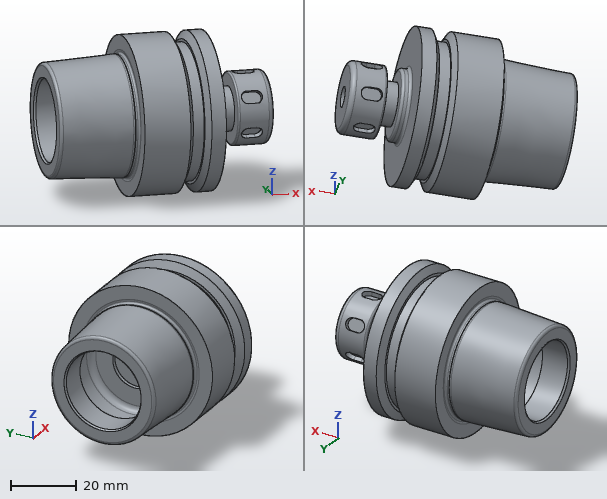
import cadquery as cq
import math

length = 70.0

shank_length = 25.0
taper_ratio = 0.1
ridge_dia = 38.3
ridge_start = 23.0
ridge_end = 23.6
mouth_dia = ridge_dia - ridge_start * taper_ratio
mouth_round = 1.0

neck_dia = 37.9
relief_radius = 0.7
relief_depth = 0.15
relief_rim_dia = 40.75

flange_dia = 50.0
flange_end = 50.95
groove_center = 43.0
groove_floor_dia = 43.0
groove_floor_width = 3.7
groove_wall_dia = 44.8
groove_side_angle = 60.0

collar_dia = 23.0
collar_end = 54.05
collar_round = 1.0
stem_dia = 14.0
nut_dia = collar_dia
nut_start = 58.5
nut_back_round = 0.55
nut_front_round = 1.7

slot_count = 6
slot_center = 63.2
slot_length = 6.65
slot_width = 4.05
slot_floor_radius = 9.8

bore_mouth_dia = 26.8
bore_dia = 26.0
bore_chamfer_length = 0.7
bore_end = 9.7
chamber_dia = 32.0
chamber_end = 21.9
chamber_corner = 2.1
pilot_dia = 16.0
pilot_depth = 1.4
through_dia = 6.5


def make_body():
    """Revolve the outer outline, drawn as (x, radius), around the X axis."""
    ridge_r = ridge_dia / 2
    neck_r = neck_dia / 2
    flange_r = flange_dia / 2
    collar_r = collar_dia / 2
    mouth_r = mouth_dia / 2

    relief_bottom = shank_length + relief_depth
    half_floor = groove_floor_width / 2
    side_run = (flange_r - groove_wall_dia / 2) / math.tan(math.radians(groove_side_angle))
    groove_left = groove_center - half_floor
    groove_right = groove_center + half_floor

    outline = (
        cq.Workplane("XY")
        .lineTo(0, mouth_r)
        .lineTo(ridge_start, ridge_r)
        .lineTo(ridge_end, ridge_r)
        .lineTo(ridge_end + ridge_r - neck_r, neck_r)
        .lineTo(relief_bottom - relief_radius, neck_r)
        .tangentArcPoint((relief_bottom, neck_r + relief_radius), relative=False)
        .lineTo(shank_length, relief_rim_dia / 2)
        .lineTo(shank_length, flange_r)
        .lineTo(groove_left - side_run, flange_r)
        .lineTo(groove_left, groove_wall_dia / 2)
        .lineTo(groove_left, groove_floor_dia / 2)
        .lineTo(groove_right, groove_floor_dia / 2)
        .lineTo(groove_right, groove_wall_dia / 2)
        .lineTo(groove_right + side_run, flange_r)
        .lineTo(flange_end, flange_r)
        .lineTo(flange_end, collar_r + collar_round)
        .tangentArcPoint((flange_end + collar_round, collar_r), relative=False)
        .lineTo(collar_end, collar_r)
        .lineTo(collar_end, stem_dia / 2)
        .lineTo(nut_start, stem_dia / 2)
        .lineTo(nut_start, nut_dia / 2)
        .lineTo(length, nut_dia / 2)
        .lineTo(length, 0)
        .close()
    )
    return outline.revolve(360, (0, 0, 0), (1, 0, 0))


def round_rim(body, x, diameter, radius):
    """Round the circular outer edge of the given diameter at position x."""
    margin = 0.1
    reach = diameter / 2 + margin
    rim = cq.selectors.BoxSelector(
        (x - margin, -reach, -reach), (x + margin, reach, reach), boundingbox=True
    )
    rim_edges = [
        edge for edge in body.edges(rim).vals() if abs(edge.radius() - diameter / 2) < margin
    ]
    return body.newObject(rim_edges).fillet(radius)


def make_bore():
    """Chamfered bore, round-cornered chamber, pilot recess and through hole in one revolve."""
    outline = (
        cq.Workplane("XY")
        .lineTo(0, bore_mouth_dia / 2)
        .lineTo(bore_chamfer_length, bore_dia / 2)
        .lineTo(bore_end, bore_dia / 2)
        .lineTo(bore_end, chamber_dia / 2)
        .lineTo(chamber_end - chamber_corner, chamber_dia / 2)
        .tangentArcPoint((chamber_end, chamber_dia / 2 - chamber_corner), relative=False)
        .lineTo(chamber_end, pilot_dia / 2)
        .lineTo(chamber_end + pilot_depth, pilot_dia / 2)
        .lineTo(chamber_end + pilot_depth, through_dia / 2)
        .lineTo(length, through_dia / 2)
        .lineTo(length, 0)
        .close()
    )
    return outline.revolve(360, (0, 0, 0), (1, 0, 0))


def make_wrench_slots():
    """Flat-bottomed slots evenly spaced around the nut, the first one facing +Z."""
    slot = (
        cq.Workplane("XY", origin=(slot_center, 0, slot_floor_radius))
        .slot2D(slot_length, slot_width)
        .extrude(nut_dia / 2)
    )
    slots = cq.Workplane("XY")
    for index in range(slot_count):
        angle = index * 360 / slot_count
        slots = slots.add(slot.rotate((0, 0, 0), (1, 0, 0), angle))
    return slots.combine()


body = make_body()
body = round_rim(body, 0, mouth_dia, mouth_round)
body = round_rim(body, collar_end, collar_dia, collar_round)
body = round_rim(body, nut_start, nut_dia, nut_back_round)
body = round_rim(body, length, nut_dia, nut_front_round)

result = body.cut(make_bore()).cut(make_wrench_slots())